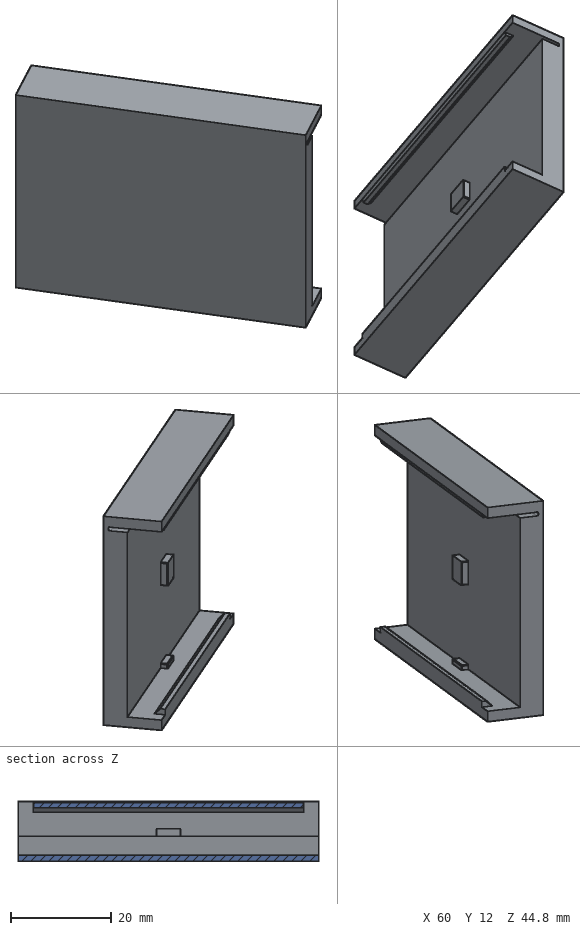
import cadquery as cq

length = 60.0
depth = 12.0
height = 44.8

wall_thickness = 5.0
arm_thickness = 2.2
slot_height = 0.8
slot_skin = 1.0

lip_inset = 3.0
bottom_lip_height = 1.2
bottom_lip_tip = 1.0
top_lip_height = slot_height
top_lip_tip = 0.95
top_lip_lead_out = 0.3

pad_depth = 1.5
pad_length = 5.0
pad_height = 5.0
low_pad_height = 1.0
pad_chamfer = 0.2

front_y = -depth / 2
back_y = depth / 2
wall_y = front_y + wall_thickness
top_z = height / 2
bottom_z = -height / 2
top_arm_z = top_z - arm_thickness
bottom_arm_z = bottom_z + arm_thickness
wall_top_z = top_arm_z - slot_height


def extrude_along_x(outline, size):
    """Extrude a closed YZ outline along X, centred on X = 0."""
    return outline.close().extrude(size / 2, both=True)


def make_body():
    slot_radius = slot_height / 2
    slot_end_y = front_y + slot_skin
    arc_y = slot_end_y + slot_radius
    outline = (
        cq.Workplane("YZ")
        .moveTo(front_y, bottom_z)
        .lineTo(back_y, bottom_z)
        .lineTo(back_y, bottom_arm_z)
        .lineTo(wall_y, bottom_arm_z)
        .lineTo(wall_y, wall_top_z)
        .lineTo(arc_y, wall_top_z)
        .threePointArc((slot_end_y, wall_top_z + slot_radius), (arc_y, top_arm_z))
        .lineTo(back_y, top_arm_z)
        .lineTo(back_y, top_z)
        .lineTo(front_y, top_z)
    )
    return extrude_along_x(outline, length)


def make_bottom_lip():
    """Lip flush with the back edge, with a 45 degree slope facing the wall."""
    tip_y = back_y - bottom_lip_tip
    tip_z = bottom_arm_z + bottom_lip_height
    outline = (
        cq.Workplane("YZ")
        .moveTo(back_y, bottom_arm_z)
        .lineTo(back_y, tip_z)
        .lineTo(tip_y, tip_z)
        .lineTo(tip_y - bottom_lip_height, bottom_arm_z)
    )
    return extrude_along_x(outline, length - 2 * lip_inset)


def make_top_lip():
    """Lip rooted at the back edge, sloped steeply behind and at 45 degrees toward the wall."""
    tip_back_y = back_y - top_lip_lead_out
    tip_front_y = tip_back_y - top_lip_tip
    tip_z = top_arm_z - top_lip_height
    outline = (
        cq.Workplane("YZ")
        .moveTo(back_y, top_arm_z)
        .lineTo(tip_back_y, tip_z)
        .lineTo(tip_front_y, tip_z)
        .lineTo(tip_front_y - top_lip_height, top_arm_z)
    )
    return extrude_along_x(outline, length - 2 * lip_inset)


def make_pad(size_z, base_z, chamfered_edges):
    """Pad on the back of the wall, starting at height base_z, with the chosen edges chamfered."""
    return (
        cq.Workplane("XY")
        .box(pad_length, pad_depth, size_z, centered=(True, False, False))
        .translate((0, wall_y, base_z))
        .edges(chamfered_edges)
        .chamfer(pad_chamfer)
    )


middle_pad = make_pad(pad_height, -pad_height / 2, "|Y or (>Y and |Z)")
low_pad = make_pad(low_pad_height, bottom_arm_z, "(>Z and |Y) or (>Y and |Z) or (>Y and >Z)")

result = (
    make_body()
    .union(make_bottom_lip())
    .union(make_top_lip())
    .union(middle_pad)
    .union(low_pad)
)